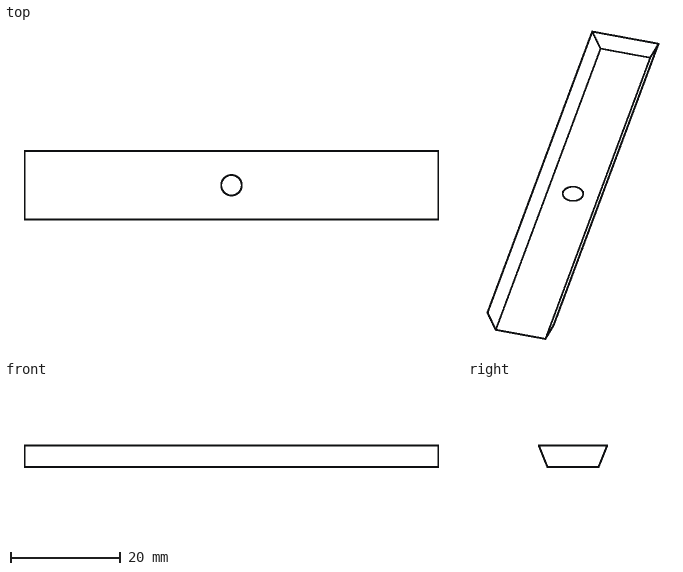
import cadquery as cq

length = 75.6
top_width = 12.55
bottom_width = 9.4
thickness = 4.0
hole_diameter = 3.7

section = [
    (-bottom_width / 2, -thickness / 2),
    (bottom_width / 2, -thickness / 2),
    (top_width / 2, thickness / 2),
    (-top_width / 2, thickness / 2),
]
bar = cq.Workplane("YZ").polyline(section).close().extrude(length / 2, both=True)

hole = cq.Workplane("XY").circle(hole_diameter / 2).extrude(thickness, both=True)

result = bar.cut(hole)